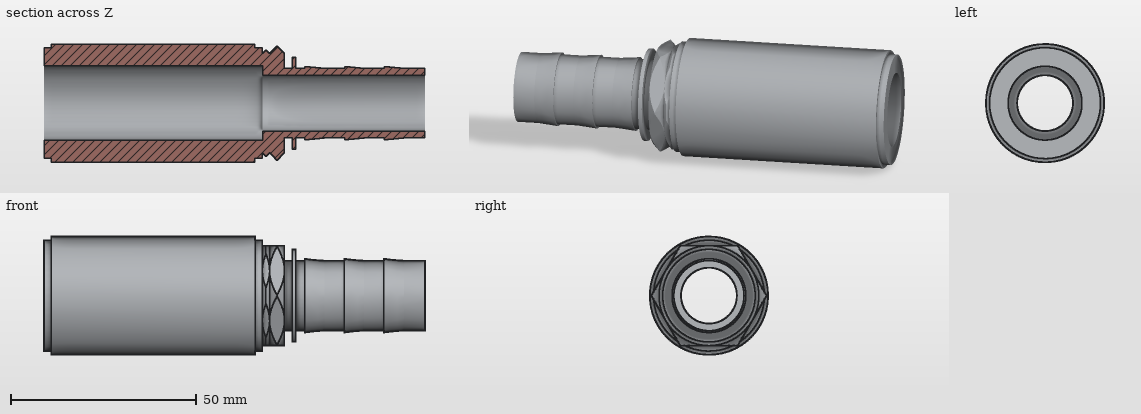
import cadquery as cq
import math

total_length = 103.0
shoulder_length = 2.0
sleeve_end = 59.0
ring_nut_length = 2.0
main_nut_length = 4.0
flange_start = 67.1
flange_thickness = 1.0
barb_length = 5.4
barb_count = 3
first_barb_start = 70.5
barb_pitch = 10.7

sleeve_diameter = 32.0
shoulder_diameter = 30.0
nut_across_flats = 27.0
flange_diameter = 25.0
tail_diameter = 19.0
barb_diameter = 20.0
socket_diameter = 20.0
bore_diameter = 15.0

socket_depth = sleeve_end
ring_nut_end = sleeve_end + ring_nut_length
main_nut_end = ring_nut_end + main_nut_length


def cylinder(start, length, diameter):
    """Cylinder about the X axis."""
    return cq.Workplane("YZ", origin=(start, 0, 0)).circle(diameter / 2).extrude(length)


def cone(start, length, start_diameter, end_diameter):
    """Conical frustum about the X axis."""
    profile = [
        (start, 0),
        (start, start_diameter / 2),
        (start + length, end_diameter / 2),
        (start + length, 0),
    ]
    return cq.Workplane("XY").polyline(profile).close().revolve(360, (0, 0, 0), (1, 0, 0))


def hex_nut(start, length):
    """Hexagon with two flats facing +Z and -Z, chamfered at 45 degrees from both faces to mid-length."""
    across_corners = nut_across_flats / math.cos(math.pi / 6)
    half_length = length / 2
    middle = start + half_length
    ridge_diameter = nut_across_flats + 2 * half_length
    hexagon = cq.Workplane("YZ", origin=(start, 0, 0)).polygon(6, across_corners).extrude(length)
    rising = cone(start, half_length, nut_across_flats, ridge_diameter)
    falling = cone(middle, half_length, ridge_diameter, nut_across_flats)
    return hexagon.intersect(rising.union(falling))


sleeve = cylinder(0, sleeve_end, shoulder_diameter).union(
    cylinder(shoulder_length, sleeve_end - 2 * shoulder_length, sleeve_diameter)
)

nuts = hex_nut(sleeve_end, ring_nut_length).union(hex_nut(ring_nut_end, main_nut_length))

tail = cylinder(main_nut_end, total_length - main_nut_end, tail_diameter)
tail = tail.union(cylinder(flange_start, flange_thickness, flange_diameter))
for index in range(barb_count):
    barb_start = first_barb_start + index * barb_pitch
    tail = tail.union(cone(barb_start, barb_length, barb_diameter, tail_diameter))

passage = cylinder(0, total_length, bore_diameter).union(cylinder(0, socket_depth, socket_diameter))

result = sleeve.union(nuts).union(tail).cut(passage)